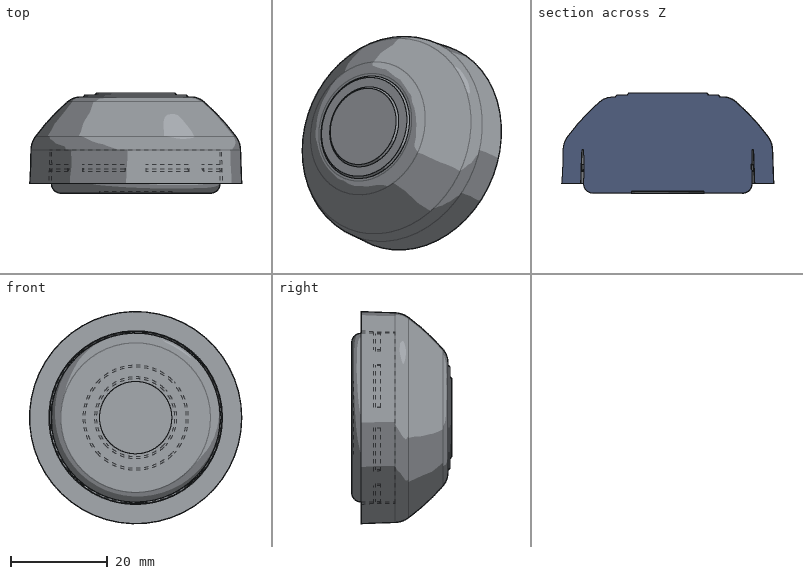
import cadquery as cq
import math

FULL_TURN = 360.0
LEVEL_SLOPE = 90.0
AXIS_START = (0, 0, 0)
AXIS_END = (0, 1, 0)

RIM_RADIUS = 22.0
SKIRT_HEIGHT = 7.0
DRAFT = 2.0
CROWN_HEIGHT = 18.0

SHOULDER_RADIUS = 5.0
SHOULDER_END_SLOPE = 36.5
DOME_RADIUS = 45.0
DOME_END_SLOPE = 49.0

STEP_HEIGHT = 0.4
STEP_BASE_RADII = (10.9, 8.5)

PAD_RADIUS = 17.5
PAD_HEIGHT = 2.0
PAD_EDGE_RADIUS = 2.0
PAD_ROOT = 1.0
RECESS_RADIUS = 7.5
RECESS_DEPTH = 0.4

GROOVE_WIDTH = 0.5
GROOVE_DEPTH = 7.0
RIB_COUNT = 8
RIB_GAP_ANGLE = 14.0
RIB_TOP = 2.5
RIB_BEVEL_HEIGHT = 0.5
RIB_HEIGHT = 1.5
RIB_ROOT = 0.3


def arc_point(start, radius, start_slope, slope):
    """Point where an arc leaving `start` at `start_slope` reaches `slope`."""
    first = math.radians(start_slope)
    last = math.radians(slope)
    r = start[0] - radius * (math.cos(first) - math.cos(last))
    y = start[1] + radius * (math.sin(last) - math.sin(first))
    return (r, y)


def add_arc(outline, start, radius, start_slope, end_slope):
    """Append a convex arc to the outline; return the outline and the arc's end."""
    middle = arc_point(start, radius, start_slope, (start_slope + end_slope) / 2)
    end = arc_point(start, radius, start_slope, end_slope)
    return outline.threePointArc(middle, end), end


def revolve_about_y(outline, angle=FULL_TURN):
    return outline.close().revolve(angle, AXIS_START, AXIS_END)


def make_body():
    skirt_top = (RIM_RADIUS - SKIRT_HEIGHT * math.tan(math.radians(DRAFT)), SKIRT_HEIGHT)
    outline = cq.Workplane("XY").moveTo(0, 0).lineTo(RIM_RADIUS, 0).lineTo(*skirt_top)
    outline, shoulder_end = add_arc(outline, skirt_top, SHOULDER_RADIUS, DRAFT, SHOULDER_END_SLOPE)
    outline, dome_end = add_arc(outline, shoulder_end, DOME_RADIUS, SHOULDER_END_SLOPE, DOME_END_SLOPE)

    crown_radius = (CROWN_HEIGHT - dome_end[1]) / (1 - math.sin(math.radians(DOME_END_SLOPE)))
    outline, _ = add_arc(outline, dome_end, crown_radius, DOME_END_SLOPE, LEVEL_SLOPE)

    height = CROWN_HEIGHT
    for base_radius in STEP_BASE_RADII:
        outline = outline.lineTo(base_radius, height)
        height += STEP_HEIGHT
        outline = outline.lineTo(base_radius - STEP_HEIGHT, height)
    return revolve_about_y(outline.lineTo(0, height))


def groove_wall_radius(depth):
    """Radius of the drafted outer groove wall at a depth below the rim face."""
    return PAD_RADIUS + GROOVE_WIDTH - depth * math.tan(math.radians(DRAFT))


def make_groove():
    outline = (
        cq.Workplane("XY")
        .moveTo(PAD_RADIUS, 0)
        .lineTo(groove_wall_radius(0), 0)
        .lineTo(groove_wall_radius(GROOVE_DEPTH), GROOVE_DEPTH)
        .lineTo(PAD_RADIUS, GROOVE_DEPTH)
    )
    return revolve_about_y(outline)


def make_rib(gap_position):
    """Snap rib that spans from one gap to the next, with a bevelled lead-in reaching the pad."""
    bevel_end = RIB_TOP + RIB_BEVEL_HEIGHT
    bottom = RIB_TOP + RIB_HEIGHT
    root_radius = groove_wall_radius(RIB_TOP) + RIB_ROOT
    outline = (
        cq.Workplane("XY")
        .moveTo(root_radius, RIB_TOP)
        .lineTo(groove_wall_radius(RIB_TOP), RIB_TOP)
        .lineTo(PAD_RADIUS, bevel_end)
        .lineTo(PAD_RADIUS, bottom)
        .lineTo(root_radius, bottom)
    )
    rib = revolve_about_y(outline, FULL_TURN / RIB_COUNT - RIB_GAP_ANGLE)
    return rib.rotate(AXIS_START, AXIS_END, gap_position + RIB_GAP_ANGLE / 2)


def make_pad():
    pad = cq.Workplane("XZ", origin=(0, PAD_ROOT, 0)).circle(PAD_RADIUS).extrude(PAD_ROOT + PAD_HEIGHT)
    pad = pad.faces("<Y").edges().fillet(PAD_EDGE_RADIUS)
    recess = (
        cq.Workplane("XZ", origin=(0, -PAD_HEIGHT, 0))
        .circle(RECESS_RADIUS)
        .extrude(-RECESS_DEPTH)
    )
    return pad.cut(recess)


body = make_body().cut(make_groove())
for index in range(RIB_COUNT):
    body = body.union(make_rib(index * FULL_TURN / RIB_COUNT))

result = body.union(make_pad())